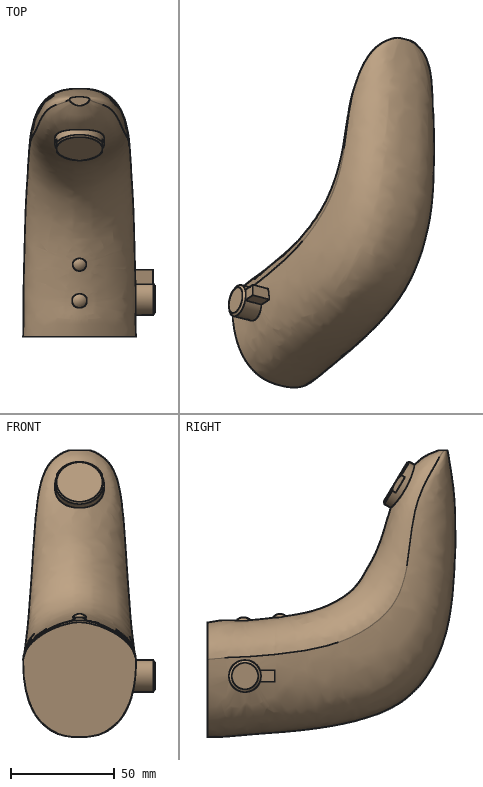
import cadquery as cq
import math

STATIONS = [
    ((0, 0), (0, 55.7), 0.68, 27.5),
    ((19.5, 1.1), (15.3, 56.7), 0.68, 27.3),
    ((39, 2.6), (30.0, 57.8), 0.68, 27.0),
    ((59.9, 5.3), (43.9, 59.8), 0.68, 26.6),
    ((83.6, 11.5), (57.1, 63.5), 0.68, 26.0),
    ((103.1, 25.1), (69.6, 71), 0.66, 25.1),
    ((114.2, 45.3), (76.0, 79.4), 0.61, 24.2),
    ((119.1, 69.6), (81.4, 89.2), 0.6, 23.1),
    ((120.5, 94.7), (85.5, 100.3), 0.62, 22.0),
    ((120.1, 114.2), (89.7, 113.5), 0.6, 20.5),
    ((118.7, 126.8), (95.8, 126.0), 0.5, 17.8),
    ((117.7, 132.9), (100.6, 132.3), 0.4, 14.6),
    ((117, 137.2), (105.9, 136.5), 0.35, 10.0),
    ((116.5, 139.3), (112.1, 139.3), 0.3, 4.9),
]
BELLY_EXPONENT = 2.4
CROWN_EXPONENT = 1.7
SPLINE_ANGLES = (25, 45, 70, 90, 110, 135, 155)

BUTTON_CENTRE = (0, 91.2, 123.8)
BUTTON_NORMAL = (0, -14.4, 8.6)
BUTTON_RADIUS = 12.0
BUTTON_DEPTH = 8.4
BUTTON_CHAMFER = 0.8
FLAT_HALF_SPACING = 11.1
FLAT_LENGTH = 9.8
FLAT_DEPTH = 2.8

KNOB_Y = 18.2
KNOB_Z = 29.7
KNOB_RADIUS = 7.8
KNOB_ROOT_X = 20.9
KNOB_RIM_X = 35.7
KNOB_TIP_X = 36.6
KNOB_BEVEL = 1.4
LEVER_END_Y = 32.6
LEVER_WIDTH = 5.6

DOMES = [(17.5, 58.2, 3.6), (35.2, 59.9, 3.3)]
DOME_HEIGHT = 1.7


def power(value, exponent):
    """Power of the size of a value, keeping its sign."""
    return math.copysign(abs(value) ** exponent, value)


def half_outline(half_width, height, exponent):
    """Points of a superellipse half between its two ends; negative sizes turn it half a turn."""
    points = []
    for angle in SPLINE_ANGLES:
        across = half_width * power(math.cos(math.radians(angle)), 2 / exponent)
        rise = height * power(math.sin(math.radians(angle)), 2 / exponent)
        points.append((across, rise))
    return points


def body_section(outer, inner, widest, half_width):
    """Closed section: one superellipse half on each side of the widest line."""
    run = inner[0] - outer[0]
    rise = inner[1] - outer[1]
    depth = math.hypot(run, rise)
    origin = (0, outer[0] + widest * run, outer[1] + widest * rise)
    plane = cq.Plane(origin=origin, xDir=(1, 0, 0), normal=(0, -rise, run))
    crown = half_outline(half_width, (1 - widest) * depth, CROWN_EXPONENT)
    belly = half_outline(-half_width, -widest * depth, BELLY_EXPONENT)
    outline = (
        cq.Workplane(plane)
        .moveTo(half_width, 0)
        .spline(crown + [(-half_width, 0)], includeCurrent=True)
        .spline(belly + [(half_width, 0)], includeCurrent=True)
        .wire()
    )
    return outline.val()


def make_body():
    return cq.Workplane(cq.Solid.makeLoft([body_section(*station) for station in STATIONS]))


def make_button():
    plane = cq.Plane(origin=BUTTON_CENTRE, xDir=(1, 0, 0), normal=BUTTON_NORMAL)
    face = cq.Workplane(plane)
    button = face.circle(BUTTON_RADIUS).extrude(-BUTTON_DEPTH)
    button = button.faces(cq.DirectionMinMaxSelector(plane.zDir, True)).chamfer(BUTTON_CHAMFER)
    for side in (-1, 1):
        notch_x = side * (FLAT_HALF_SPACING + BUTTON_RADIUS / 2)
        notch = face.center(notch_x, 0).rect(BUTTON_RADIUS, FLAT_LENGTH).extrude(-FLAT_DEPTH)
        button = button.cut(notch)
    return button


def make_knob():
    base = cq.Workplane("YZ", origin=(KNOB_ROOT_X, KNOB_Y, KNOB_Z))
    length = KNOB_RIM_X - KNOB_ROOT_X
    knob = base.circle(KNOB_RADIUS).extrude(length)
    cap = (
        cq.Workplane("XY", origin=(0, KNOB_Y, KNOB_Z))
        .moveTo(KNOB_RIM_X, 0)
        .lineTo(KNOB_TIP_X, 0)
        .lineTo(KNOB_TIP_X, KNOB_RADIUS - KNOB_BEVEL)
        .lineTo(KNOB_RIM_X, KNOB_RADIUS)
        .close()
        .revolve(360, (0, 0, 0), (1, 0, 0))
    )
    reach = LEVER_END_Y - KNOB_Y
    lever = base.center(reach / 2, 0).rect(reach, LEVER_WIDTH).extrude(length)
    return knob.union(cap).union(lever)


def make_dome(y, crown_z, radius):
    ball_radius = (radius ** 2 + DOME_HEIGHT ** 2) / (2 * DOME_HEIGHT)
    ball = cq.Workplane(origin=(0, y, crown_z - ball_radius)).sphere(ball_radius)
    limit = cq.Workplane(origin=(0, y, crown_z)).circle(radius).extrude(-2 * DOME_HEIGHT)
    return ball.intersect(limit)


result = make_body().union(make_button()).union(make_knob())
for dome in DOMES:
    result = result.union(make_dome(*dome))